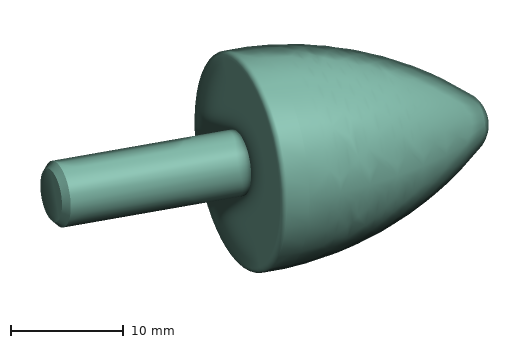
import cadquery as cq
import math

total_length = 42.0
head_diameter = 20.0
stud_diameter = 6.0
stud_length = 18.0
stud_chamfer = 0.6
base_fillet = 0.5
band_length = 2.6
tip_edge_radius = 2.35
tip_height = 1.05
flank_radius = 35.0

head_radius = head_diameter / 2
stud_radius = stud_diameter / 2
head_length = total_length - stud_length
tip_edge_y = head_length - tip_height

flank_drop = head_radius - tip_edge_radius
flank_rise = tip_edge_y - band_length
flank_chord = math.hypot(flank_drop, flank_rise)
flank_sagitta = flank_radius - math.sqrt(flank_radius**2 - (flank_chord / 2) ** 2)
flank_middle = (
    (head_radius + tip_edge_radius) / 2 + flank_sagitta * flank_rise / flank_chord,
    (band_length + tip_edge_y) / 2 + flank_sagitta * flank_drop / flank_chord,
)

tip_radius = (tip_edge_radius**2 + tip_height**2) / (2 * tip_height)
tip_half_angle = math.asin(tip_edge_radius / tip_radius) / 2
tip_middle = (
    tip_radius * math.sin(tip_half_angle),
    head_length - tip_radius * (1 - math.cos(tip_half_angle)),
)


def make_head():
    """Bullet-shaped head, revolved about Y, with a rounded base edge."""
    profile = (
        cq.Workplane("XY")
        .lineTo(head_radius, 0)
        .lineTo(head_radius, band_length)
        .threePointArc(flank_middle, (tip_edge_radius, tip_edge_y))
        .threePointArc(tip_middle, (0, head_length))
        .close()
    )
    head = profile.revolve(360, (0, 0, 0), (0, 1, 0))
    return head.faces("<Y").edges().fillet(base_fillet)


def make_stud():
    """Plain stud pointing towards -Y, chamfered at its free end."""
    stud = cq.Workplane("XZ").circle(stud_radius).extrude(stud_length)
    return stud.faces("<Y").edges().chamfer(stud_chamfer)


result = make_head().union(make_stud())